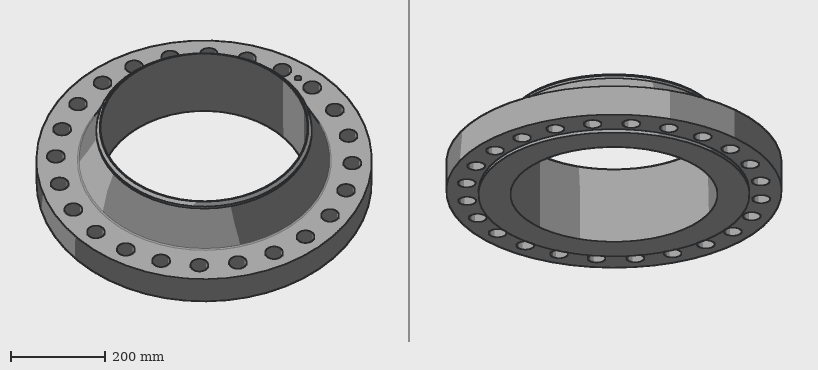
import cadquery as cq
import math


flange_diameter = 711.0
flange_thickness = 67.5
face_diameter = 574.5
face_height = 8.0

total_height = 173.0
bore_diameter = 439.0
neck_diameter = 457.0
hub_diameter = 533.0
hub_root_fillet = 3.5
weld_end_height = 13.5
bevel_height = 7.0
land_width = 2.0

bolt_count = 24
bolt_circle_diameter = 628.5
bolt_hole_diameter = 38.0
marker_hole_diameter = 14.0
marker_hole_depth = 28.5

flange_top = face_height + flange_thickness
bore_radius = bore_diameter / 2
face_radius = face_diameter / 2
flange_radius = flange_diameter / 2
hub_radius = hub_diameter / 2
neck_radius = neck_diameter / 2
bolt_circle_radius = bolt_circle_diameter / 2
bolt_pitch = 360 / bolt_count


def turned_body():
    """Disc, raised face, tapered hub with a root fillet, and bevelled weld end."""
    profile = [
        (bore_radius, 0),
        (face_radius, 0),
        (face_radius, face_height),
        (flange_radius, face_height),
        (flange_radius, flange_top),
        (hub_radius, flange_top),
        (neck_radius, total_height - weld_end_height),
        (neck_radius, total_height - bevel_height),
        (bore_radius + land_width, total_height),
        (bore_radius, total_height),
    ]
    body = cq.Workplane("XZ").polyline(profile).close().revolve(360, (0, 0, 0), (0, 1, 0))
    hub_root = body.edges("%CIRCLE").edges(cq.selectors.RadiusNthSelector(3))
    return hub_root.fillet(hub_root_fillet)


def bolt_holes():
    """Through holes evenly spaced on the bolt circle, the first one on +X."""
    return (
        cq.Workplane("XY")
        .polarArray(bolt_circle_radius, 0, 360, bolt_count)
        .circle(bolt_hole_diameter / 2)
        .extrude(flange_top)
    )


def marker_hole():
    """Small blind hole on the bolt circle, midway between the +Y bolt hole and its -X neighbour."""
    angle = math.radians(90 + bolt_pitch / 2)
    return (
        cq.Workplane("XY", origin=(0, 0, flange_top))
        .center(bolt_circle_radius * math.cos(angle), bolt_circle_radius * math.sin(angle))
        .circle(marker_hole_diameter / 2)
        .extrude(-marker_hole_depth)
    )


result = turned_body().cut(bolt_holes()).cut(marker_hole())